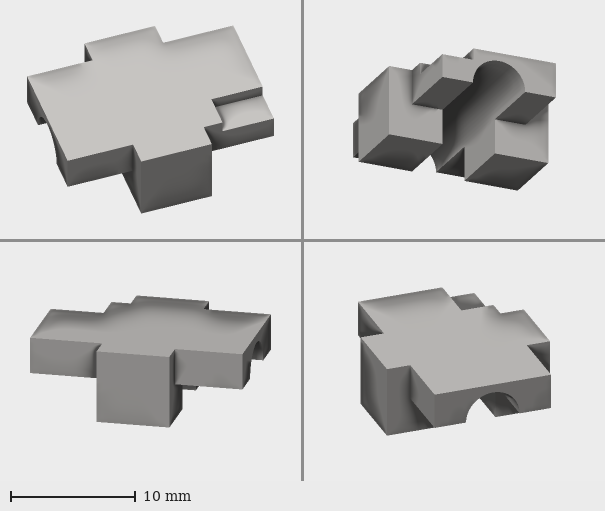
import cadquery as cq

height = 6.0
plate_width = 10.0
plate_thickness = 3.0
plate_front = 5.56
plate_back = 5.96
block_width = 14.0
block_length = 6.0
channel_radius = 2.3
corner_step_width = 2.75
corner_step_length = 4.36
corner_step_depth = 1.0

plate_length = plate_front + block_length + plate_back
plate_bottom = height - plate_thickness
plate_y_min = -block_length / 2 - plate_front
plate_y_max = block_length / 2 + plate_back
plate_x_max = plate_width / 2


def box_at(x_min, y_min, z_min, size_x, size_y, size_z):
    """Box placed by its lowest corner."""
    box = cq.Workplane("XY").box(size_x, size_y, size_z, centered=False)
    return box.translate((x_min, y_min, z_min))


def make_plate():
    return box_at(-plate_x_max, plate_y_min, plate_bottom, plate_width, plate_length, plate_thickness)


def make_saddle_block():
    return box_at(-block_width / 2, -block_length / 2, 0, block_width, block_length, height)


def make_channel():
    """Round-topped channel along Y, its arc centred level with the plate underside."""
    profile = (
        cq.Workplane("XZ", origin=(0, plate_y_max, 0))
        .moveTo(-channel_radius, 0)
        .lineTo(-channel_radius, plate_bottom)
        .threePointArc((0, plate_bottom + channel_radius), (channel_radius, plate_bottom))
        .lineTo(channel_radius, 0)
        .close()
    )
    return profile.extrude(plate_length)


def make_corner_step():
    """Shallow step in the top of the plate at its +X +Y corner."""
    return box_at(
        plate_x_max - corner_step_width,
        plate_y_max - corner_step_length,
        height - corner_step_depth,
        corner_step_width,
        corner_step_length,
        corner_step_depth,
    )


body = make_plate().union(make_saddle_block())
result = body.cut(make_channel()).cut(make_corner_step())